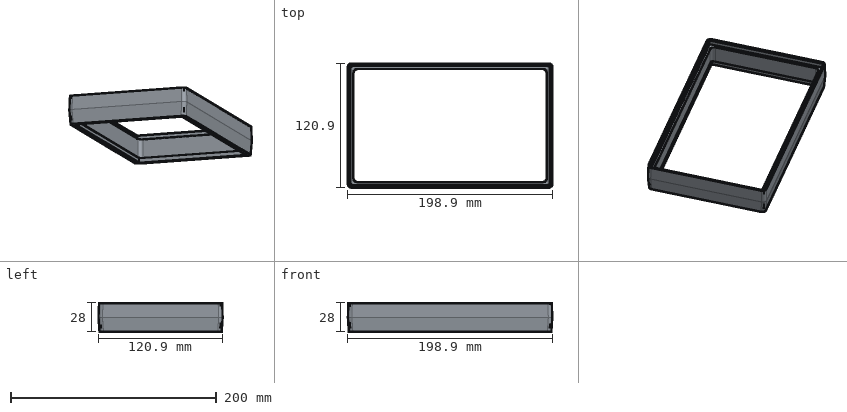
import cadquery as cq
import math

length = 198.9
width = 120.9
height = 28.0
parting_z = height / 2
corner_radius = 4.0

upper_draft = 2.0
lower_draft = 4.0

rim_thickness = 2.4
mouth_corner_radius = 1.5
flange_thickness = 4.5
chamfer_width = 0.5
chamfer_angle = 43.9
chamfer_height = chamfer_width / math.tan(math.radians(chamfer_angle))

ring_clearance = 0.4
ring_wall = 2.8
ring_height = 18.5
ring_outer_radius = 1.5
ring_inner_radius = 4.0
ring_inset = rim_thickness + ring_clearance

opening_inset = ring_inset + ring_wall


def outline(inset, radius=0, z=0):
    """Housing rectangle moved inward by the inset, with rounded corners, at height z."""
    sketch = cq.Sketch().rect(length - 2 * inset, width - 2 * inset)
    if radius > 0:
        sketch = sketch.vertices().fillet(radius).reset()
    return sketch.moved(cq.Location(cq.Vector(0, 0, z)))


def prism(inset, radius, bottom_z, prism_height):
    """Straight-walled block standing on bottom_z."""
    return cq.Workplane("XY").placeSketch(outline(inset, radius, bottom_z)).extrude(prism_height)


def drafted_half(end_z, draft):
    """Half of the housing block, narrowing from the parting line to end_z."""
    end_inset = abs(end_z - parting_z) * math.tan(math.radians(draft))
    middle = outline(0, corner_radius, parting_z)
    end = outline(end_inset, corner_radius, end_z)
    return cq.Workplane("XY").placeSketch(middle, end).loft()


def mouth_chamfer():
    """Flared cutter for the chamfer around the top of the pocket."""
    lower_radius = mouth_corner_radius - chamfer_width
    lower = outline(rim_thickness, lower_radius, height - chamfer_height)
    upper = outline(rim_thickness - chamfer_width, mouth_corner_radius, height)
    return cq.Workplane("XY").placeSketch(lower, upper).loft()


def make_housing():
    block = drafted_half(height, upper_draft).union(drafted_half(0, lower_draft))
    pocket = prism(rim_thickness, 0, flange_thickness, height - flange_thickness)
    flange_opening = prism(opening_inset, 0, 0, flange_thickness)
    return block.cut(pocket).cut(flange_opening).cut(mouth_chamfer())


def make_ring():
    body = prism(ring_inset, ring_outer_radius, flange_thickness, ring_height)
    bore = prism(opening_inset, ring_inner_radius, flange_thickness, ring_height)
    return body.cut(bore)


housing = make_housing()
ring = make_ring()
result = cq.Compound.makeCompound([housing.val(), ring.val()])